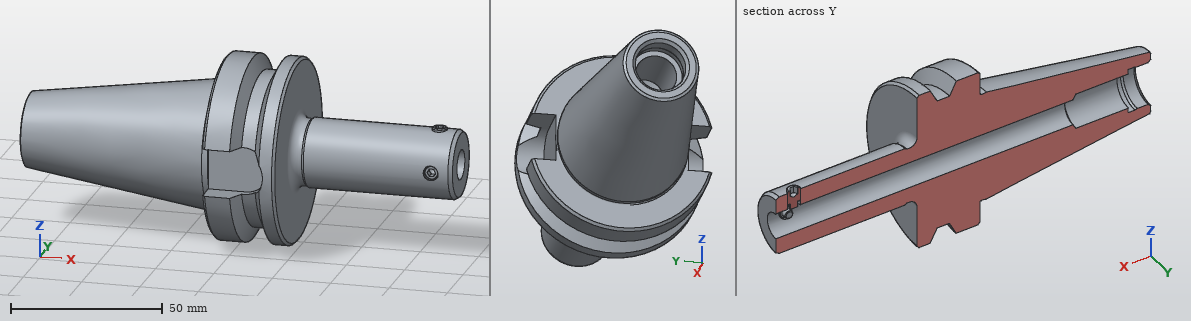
import cadquery as cq
import math

overall_length = 147.9
flange_diameter = 63.0

taper_ratio = 7 / 24
taper_length = 65.0
taper_large_diameter = 44.4
taper_small_diameter = taper_large_diameter - taper_ratio * taper_length
nose_chamfer_height = 0.9
nose_chamfer_length = 0.5
relief_diameter = 44.0
relief_start = 66.0
relief_fillet = 0.5

flange_start = 67.3
flange_end = 92.3
flange_chamfer = 0.9
groove_diameter = 52.7
groove_start = 76.8
groove_floor_start = 79.4
groove_floor_end = 84.2
groove_end = 87.0

neck_diameter = 22.5
neck_fillet = 3.0
neck_end = 96.3
shank_start = 97.0
shank_diameter = 23.5
shank_chamfer_length = 1.3
shank_chamfer_height = 0.9

slot_width = 16.3
slot_floor_offset = 22.3
slot_end = 88.3

mouth_diameter = 19.1
mouth_depth = 1.2
pilot_diameter = 17.0
pilot_depth = 5.5
undercut_diameter = 17.6
undercut_cone_length = 0.9
undercut_end = 8.9
thread_diameter = 13.9
thread_depth = 29.6
tool_bore_diameter = 10.0
drill_point_angle = 118.0

screw_x = 140.7
screw_diameter = 5.0
screw_length = 8.0
screw_chamfer = 0.37
dog_diameter = 3.1
dog_length = 2.2
dog_chamfer = 0.3
socket_across_flats = 2.5
socket_depth = 2.5
socket_cone_depth = 0.7
top_screw_head_offset = 12.5
side_screw_head_offset = 10.8


def revolve_about_x(profile):
    return profile.close().revolve(360, (0, 0, 0), (1, 0, 0))


def make_blank():
    """Solid of revolution: taper, relief, grooved flange, neck and shank."""
    taper_small_radius = taper_small_diameter / 2
    relief_radius = relief_diameter / 2
    flange_radius = flange_diameter / 2
    flange_face_radius = flange_radius - flange_chamfer
    groove_radius = groove_diameter / 2
    neck_radius = neck_diameter / 2
    shank_radius = shank_diameter / 2
    nose_chamfer_radius = taper_small_radius + taper_ratio * nose_chamfer_length / 2
    arc_inset = 1 - math.sqrt(0.5)

    profile = (
        cq.Workplane("XY")
        .lineTo(0, taper_small_radius - nose_chamfer_height)
        .lineTo(nose_chamfer_length, nose_chamfer_radius)
        .lineTo(taper_length, taper_large_diameter / 2)
        .lineTo(relief_start, relief_radius)
        .lineTo(flange_start - relief_fillet, relief_radius)
        .threePointArc(
            (flange_start - arc_inset * relief_fillet, relief_radius + arc_inset * relief_fillet),
            (flange_start, relief_radius + relief_fillet),
        )
        .lineTo(flange_start, flange_face_radius)
        .lineTo(flange_start + flange_chamfer, flange_radius)
        .lineTo(groove_start, flange_radius)
        .lineTo(groove_floor_start, groove_radius)
        .lineTo(groove_floor_end, groove_radius)
        .lineTo(groove_end, flange_radius)
        .lineTo(flange_end - flange_chamfer, flange_radius)
        .lineTo(flange_end, flange_face_radius)
        .lineTo(flange_end, neck_radius + neck_fillet)
        .threePointArc(
            (flange_end + arc_inset * neck_fillet, neck_radius + arc_inset * neck_fillet),
            (flange_end + neck_fillet, neck_radius),
        )
        .lineTo(neck_end, neck_radius)
        .lineTo(shank_start, shank_radius)
        .lineTo(overall_length - shank_chamfer_length, shank_radius)
        .lineTo(overall_length, shank_radius - shank_chamfer_height)
        .lineTo(overall_length, 0)
    )
    return revolve_about_x(profile)


def make_bore():
    """Through bore: countersunk pilot, undercut, drawbar thread bore with drill point, tool bore."""
    thread_radius = thread_diameter / 2
    tool_bore_radius = tool_bore_diameter / 2
    drill_point_length = (thread_radius - tool_bore_radius) / math.tan(math.radians(drill_point_angle / 2))

    profile = (
        cq.Workplane("XY")
        .lineTo(0, mouth_diameter / 2)
        .lineTo(mouth_depth, pilot_diameter / 2)
        .lineTo(pilot_depth, pilot_diameter / 2)
        .lineTo(pilot_depth + undercut_cone_length, undercut_diameter / 2)
        .lineTo(undercut_end, undercut_diameter / 2)
        .lineTo(undercut_end, thread_radius)
        .lineTo(thread_depth, thread_radius)
        .lineTo(thread_depth + drill_point_length, tool_bore_radius)
        .lineTo(overall_length, tool_bore_radius)
        .lineTo(overall_length, 0)
    )
    return revolve_about_x(profile)


def make_drive_slot(side):
    """Round-ended drive slot on the +Y (side = 1) or -Y (side = -1) edge of the flange."""
    end_radius = slot_width / 2
    end_center = slot_end - end_radius
    depth = flange_diameter / 2 - slot_floor_offset
    middle_y = side * (slot_floor_offset + depth / 2)
    straight_length = end_center - flange_start
    straight = cq.Workplane("XY").box(straight_length, depth, slot_width)
    straight = straight.translate((flange_start + straight_length / 2, middle_y, 0))
    round_end = (
        cq.Workplane("XZ")
        .center(end_center, 0)
        .circle(end_radius)
        .extrude(depth / 2, both=True)
        .translate((0, middle_y, 0))
    )
    return straight.union(round_end)


def screw_plane(direction):
    """Plane on the spindle axis whose normal points outward along a screw."""
    return cq.Plane(origin=(screw_x, 0, 0), xDir=(1, 0, 0), normal=direction)


def make_screw_hole(direction):
    return cq.Workplane(screw_plane(direction)).circle(screw_diameter / 2).extrude(flange_diameter / 2)


def make_set_screw(direction, head_offset):
    """Dog-point set screw with a cone-bottomed hexagon socket in its outer end."""
    tip_offset = head_offset - screw_length
    plane = screw_plane(direction)
    thread = (
        cq.Workplane(plane)
        .workplane(offset=tip_offset + dog_length)
        .circle(screw_diameter / 2)
        .extrude(screw_length - dog_length)
        .edges()
        .chamfer(screw_chamfer)
    )
    dog = (
        cq.Workplane(plane)
        .workplane(offset=tip_offset)
        .circle(dog_diameter / 2)
        .extrude(dog_length)
    )
    tip_face = dog.faces(cq.selectors.DirectionMinMaxSelector(cq.Vector(*direction), False))
    dog = tip_face.chamfer(dog_chamfer)
    socket_across_corners = socket_across_flats / math.cos(math.pi / 6)
    socket = (
        cq.Workplane(plane)
        .workplane(offset=head_offset - socket_depth)
        .polygon(6, socket_across_corners)
        .extrude(socket_depth)
    )
    outward = cq.Vector(*direction)
    socket_floor_center = cq.Vector(screw_x, 0, 0) + outward * (head_offset - socket_depth)
    socket_cone = cq.Solid.makeCone(
        socket_across_flats / 2, 0, socket_cone_depth, socket_floor_center, outward * -1
    )
    return thread.union(dog).cut(socket).cut(cq.Workplane(socket_cone))


screw_placements = [
    ((0, 0, 1), top_screw_head_offset),
    ((0, -1, 0), side_screw_head_offset),
]

holder = make_blank().cut(make_bore())
for slot_side in (1, -1):
    holder = holder.cut(make_drive_slot(slot_side))

set_screws = []
for screw_direction, screw_head_offset in screw_placements:
    holder = holder.cut(make_screw_hole(screw_direction))
    set_screws.append(make_set_screw(screw_direction, screw_head_offset).val())

result = cq.Compound.makeCompound([holder.val(), *set_screws])